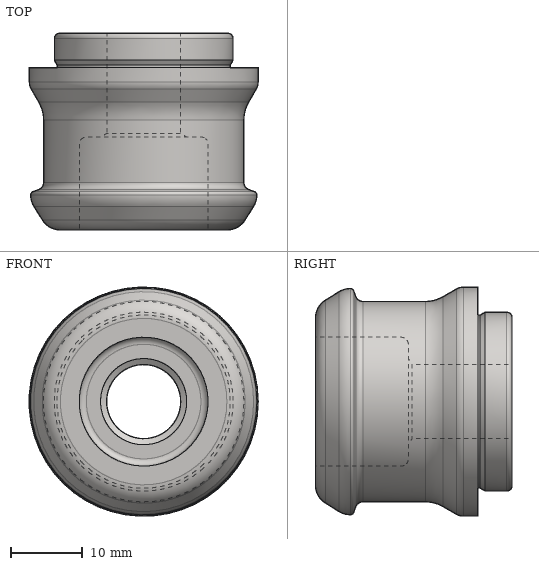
import cadquery as cq
import math

total_length = 27.5

bead_radius = 31.6 / 2
bead_crest_y = 4.9
bead_taper_angle = 32
bead_round = 3.0
bead_back_angle = 70
bead_back_round = 0.5
bead_root_fillet = 1.05

waist_radius = 28.0 / 2
flange_radius = 32 / 2
flange_rim_width = 2.0
flare_angle = 30
flange_round = 2.0
flare_fillet = 5.0

spigot_radius = 25.0 / 2
spigot_length = 4.8
spigot_round = 0.77
undercut_radius = 12.1
undercut_flat = 0.32
undercut_cone_length = 0.7

bore_radius = 18.0 / 2
bore_depth = 13.0
bore_floor_fillet = 1.0
hole_radius = 10.3 / 2
countersink_depth = 0.5
countersink_radius = 12.03 / 2


def arc_point(center, radius, degrees):
    """Point on an arc, with the angle measured from the outward radial direction toward +Y."""
    angle = math.radians(degrees)
    return (center[0] + radius * math.cos(angle), center[1] + radius * math.sin(angle))


def add_arc(outline, center, radius, start, end):
    """Draw a straight line to the start of an arc, then the arc."""
    outline = outline.lineTo(*arc_point(center, radius, start))
    middle = arc_point(center, radius, (start + end) / 2)
    return outline.threePointArc(middle, arc_point(center, radius, end))


def slope_axial_length(radial_drop, convex_radius, concave_radius, degrees):
    """Axial length of a tangent slope joining two arcs across a given radial drop."""
    angle = math.radians(degrees)
    straight_drop = radial_drop - (convex_radius + concave_radius) * (1 - math.cos(angle))
    return straight_drop / math.tan(angle) + (convex_radius + concave_radius) * math.sin(angle)


def make_body():
    shoulder_y = total_length - spigot_length
    taper = math.radians(bead_taper_angle)

    crest_center = (bead_radius - bead_round, bead_crest_y)
    nose_center_x = crest_center[0] - (bead_crest_y - bead_round) * math.tan(taper)
    nose_center = (nose_center_x, bead_round)

    back_center = (bead_radius - bead_back_round, bead_crest_y)
    bead_back_length = slope_axial_length(
        bead_radius - waist_radius, bead_back_round, bead_root_fillet, bead_back_angle
    )
    root_center = (waist_radius + bead_root_fillet, bead_crest_y + bead_back_length)

    rim_front_y = shoulder_y - flange_rim_width
    flare_length = slope_axial_length(
        flange_radius - waist_radius, flange_round, flare_fillet, flare_angle
    )
    flare_center = (waist_radius + flare_fillet, rim_front_y - flare_length)
    rim_center = (flange_radius - flange_round, rim_front_y)

    undercut_end_y = shoulder_y + undercut_flat
    spigot_center = (spigot_radius - spigot_round, total_length - spigot_round)

    outline = cq.Workplane("XY").moveTo(0, 0)
    outline = add_arc(outline, nose_center, bead_round, -90, -bead_taper_angle)
    outline = add_arc(outline, crest_center, bead_round, -bead_taper_angle, 0)
    outline = outline.threePointArc(
        arc_point(back_center, bead_back_round, bead_back_angle / 2),
        arc_point(back_center, bead_back_round, bead_back_angle),
    )
    outline = add_arc(outline, root_center, bead_root_fillet, 180 + bead_back_angle, 180)
    outline = add_arc(outline, flare_center, flare_fillet, 180, 180 - flare_angle)
    outline = add_arc(outline, rim_center, flange_round, -flare_angle, 0)
    outline = (
        outline.lineTo(flange_radius, shoulder_y)
        .lineTo(undercut_radius, shoulder_y)
        .lineTo(undercut_radius, undercut_end_y)
        .lineTo(spigot_radius, undercut_end_y + undercut_cone_length)
    )
    outline = add_arc(outline, spigot_center, spigot_round, 0, 90)
    outline = outline.lineTo(0, total_length).close()
    return outline.revolve(360, (0, 0, 0), (0, 1, 0))


def make_cavity():
    floor_center = (bore_radius - bore_floor_fillet, bore_depth - bore_floor_fillet)

    outline = cq.Workplane("XY").moveTo(0, 0).lineTo(bore_radius, 0)
    outline = add_arc(outline, floor_center, bore_floor_fillet, 0, 90)
    outline = (
        outline.lineTo(countersink_radius, bore_depth)
        .lineTo(hole_radius, bore_depth + countersink_depth)
        .lineTo(hole_radius, total_length)
        .lineTo(0, total_length)
        .close()
    )
    return outline.revolve(360, (0, 0, 0), (0, 1, 0))


result = make_body().cut(make_cavity())